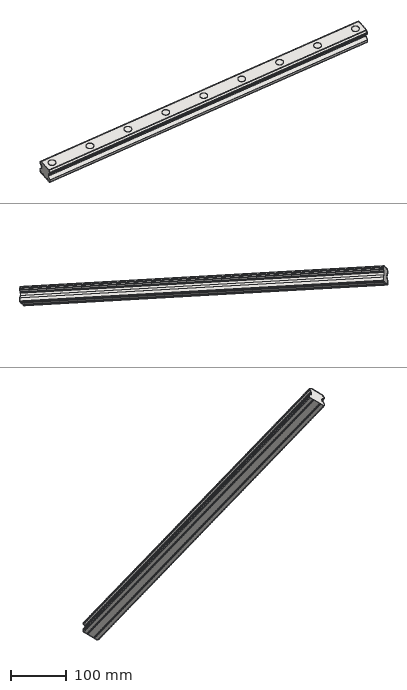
import cadquery as cq

RAIL_LENGTH = 670.0
RAIL_WIDTH = 34.0
RAIL_HEIGHT = 29.0

TOP_WIDTH = 26.0
LOBE_TOP_Z = 24.3
LOBE_BOTTOM_Z = 22.0

TRACK_INNER_WIDTH = 27.0
TRACK_OUTER_WIDTH = 32.8
UPPER_TRACK_SAG = 0.6
LOWER_TRACK_SAG = 0.9
UPPER_TRACK_TOP_Z = 28.3
UPPER_TRACK_BOTTOM_Z = 25.6
LOWER_TRACK_TOP_Z = 21.2
LOWER_TRACK_BOTTOM_Z = 19.2

NECK_WIDTH = 23.4
UNDERCUT_WIDTH = 25.5
UNDERCUT_TOP_Z = 18.7
NECK_TOP_Z = 17.0
NECK_BOTTOM_Z = 12.6
FOOT_SHOULDER_Z = 7.2
FOOT_CHAMFER = 1.5

BASE_GROOVE_INNER_X = 6.5
BASE_GROOVE_OUTER_X = 8.5
BASE_GROOVE_DEPTH = 0.6
BASE_RELIEF_DEPTH = 0.2

RECESS_COUNT = 9
RECESS_PITCH = 80.0
RECESS_DIAMETER = 14.0
RECESS_DEPTH = 0.5


def make_half_rail():
    """Extrude the +X half of the rail section along Y, centred on the origin in Y."""
    half_width = RAIL_WIDTH / 2
    track_inner_x = TRACK_INNER_WIDTH / 2
    track_outer_x = TRACK_OUTER_WIDTH / 2
    section = (
        cq.Workplane("XZ")
        .moveTo(0, RAIL_HEIGHT)
        .lineTo(TOP_WIDTH / 2, RAIL_HEIGHT)
        .lineTo(track_inner_x, UPPER_TRACK_TOP_Z)
        .sagittaArc((track_outer_x, UPPER_TRACK_BOTTOM_Z), -UPPER_TRACK_SAG)
        .lineTo(half_width, LOBE_TOP_Z)
        .lineTo(half_width, LOBE_BOTTOM_Z)
        .lineTo(track_outer_x, LOWER_TRACK_TOP_Z)
        .sagittaArc((track_inner_x, LOWER_TRACK_BOTTOM_Z), -LOWER_TRACK_SAG)
        .lineTo(UNDERCUT_WIDTH / 2, UNDERCUT_TOP_Z)
        .lineTo(UNDERCUT_WIDTH / 2, NECK_TOP_Z)
        .lineTo(NECK_WIDTH / 2, NECK_TOP_Z)
        .lineTo(NECK_WIDTH / 2, NECK_BOTTOM_Z)
        .lineTo(half_width, FOOT_SHOULDER_Z)
        .lineTo(half_width, FOOT_CHAMFER)
        .lineTo(half_width - FOOT_CHAMFER, 0)
        .lineTo(BASE_GROOVE_OUTER_X, 0)
        .lineTo(BASE_GROOVE_OUTER_X, BASE_GROOVE_DEPTH)
        .lineTo(BASE_GROOVE_INNER_X, BASE_GROOVE_DEPTH)
        .lineTo(BASE_GROOVE_INNER_X, BASE_RELIEF_DEPTH)
        .lineTo(0, BASE_RELIEF_DEPTH)
        .close()
    )
    return section.extrude(RAIL_LENGTH / 2, both=True)


def make_recesses():
    """Evenly spaced shallow round recesses along the centreline of the top face."""
    return (
        cq.Workplane("XY", origin=(0, 0, RAIL_HEIGHT))
        .rarray(1, RECESS_PITCH, 1, RECESS_COUNT)
        .circle(RECESS_DIAMETER / 2)
        .extrude(-RECESS_DEPTH)
    )


half_rail = make_half_rail()
rail = half_rail.union(half_rail.mirror("YZ")).clean()
result = rail.cut(make_recesses())